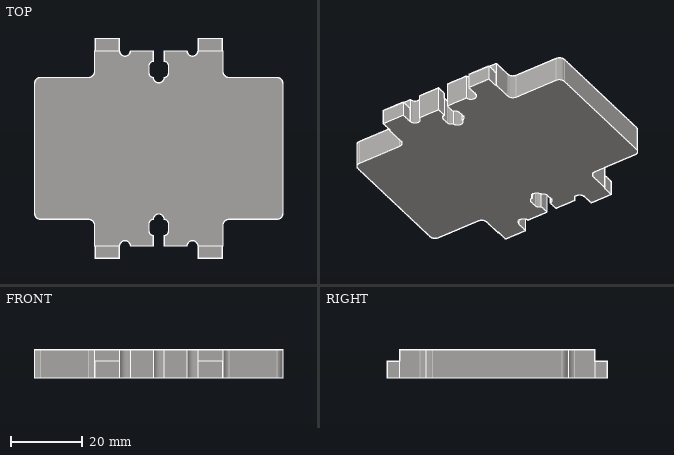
import cadquery as cq

thickness = 8.0
body_length = 70.0
body_width = 40.0
body_corner_radius = 1.7
arm_width = 36.2
arm_length = 55.0
inner_corner_radius = 1.7

overall_width = 62.0
tab_height = 4.8
tab_inner_x = 11.1
tab_outer_x = 17.9

notch_radius = 1.5
notch_x = 9.5

slot_width = 3.0
slot_end_y = 18.5
pocket_width = 5.4
pocket_inner_y = 20.0
pocket_outer_y = 24.5
pocket_corner_radius = 1.2

arm_end_y = arm_length / 2
SIDES = (-1, 1)


def block(x_min, x_max, y_min, y_max, height):
    """Upright block standing on the base plane."""
    return cq.Workplane("XY").box(
        x_max - x_min, y_max - y_min, height, centered=False
    ).translate((x_min, y_min, 0))


def cross_plate():
    """Body and arm with rounded body corners and filleted inner corners."""
    body = cq.Workplane("XY").rect(body_length, body_width).extrude(thickness)
    body = body.edges("|Z").fillet(body_corner_radius)
    arm = cq.Workplane("XY").rect(arm_width, arm_length).extrude(thickness)
    plate = body.union(arm)
    half_arm = arm_width / 2
    half_body = body_width / 2
    reach = inner_corner_radius / 2
    inner_corners = cq.selectors.BoxSelector(
        (-half_arm - reach, -half_body - reach, 0),
        (half_arm + reach, half_body + reach, thickness),
    )
    return plate.edges("|Z").edges(inner_corners).fillet(inner_corner_radius)


def tab(x_side):
    """Low tab standing out from the +Y arm end."""
    inner, outer = sorted((x_side * tab_inner_x, x_side * tab_outer_x))
    return block(inner, outer, arm_end_y, overall_width / 2, tab_height)


def notch(x_side):
    """Half-round notch cutter through the +Y arm end."""
    return (
        cq.Workplane("XY")
        .center(x_side * notch_x, arm_end_y)
        .circle(notch_radius)
        .extrude(thickness)
    )


def keyhole_slot():
    """Round-ended slot cutter with a wider rounded pocket, at the +Y arm end."""
    half_slot = slot_width / 2
    end_centre_y = slot_end_y + half_slot
    channel = block(-half_slot, half_slot, end_centre_y, arm_end_y, thickness)
    round_end = cq.Workplane("XY").center(0, end_centre_y).circle(half_slot).extrude(thickness)
    pocket = block(-pocket_width / 2, pocket_width / 2, pocket_inner_y, pocket_outer_y, thickness)
    pocket = pocket.edges("|Z").fillet(pocket_corner_radius)
    return channel.union(round_end).union(pocket)


def at_end(shape, y_side):
    """Shape at its +Y arm end, or mirrored to the -Y arm end."""
    return shape if y_side > 0 else shape.mirror("XZ")


result = cross_plate()
for y_side in SIDES:
    result = result.cut(at_end(keyhole_slot(), y_side))
    for x_side in SIDES:
        result = result.cut(at_end(notch(x_side), y_side))
        result = result.union(at_end(tab(x_side), y_side))